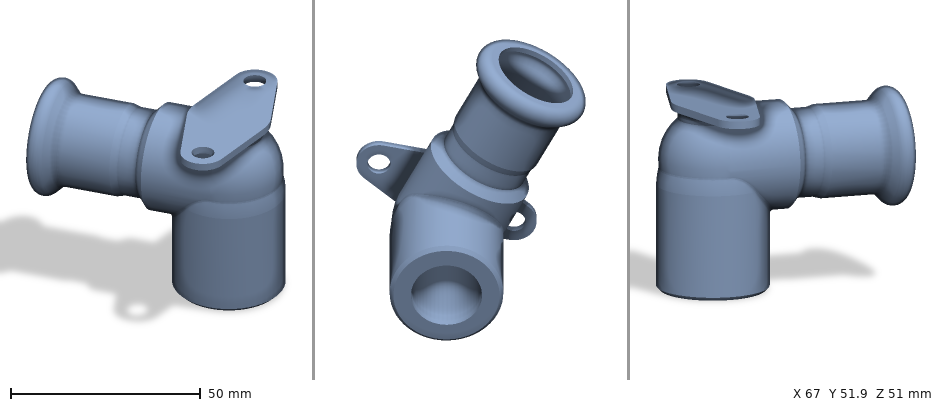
import cadquery as cq
import math


inlet_length = 52.0
socket_radius = 25.0 / 2
neck_radius = 23.8 / 2
body_radius = 29.0 / 2
socket_end = 22.9
neck_start = 25.0
neck_end = 30.1
body_start = 32.55

wall = 1.5
bead_radius = 2.9
bead_centre_radius = 13.0
blend_radius = 2.35
socket_bore_radius = socket_radius - wall

outlet_radius = 30.0 / 2
outlet_bottom = -35.1
outlet_dome_z = -6.6
outlet_chamfer = 1.0
bore_radius = 9.4
seam_fillet = 1.0

flange_top = 15.9
flange_thickness = 2.0
flange_radius = 11.1
ear_radius = 5.95
flange_width = 51.9
ear_offset = flange_width / 2 - ear_radius
ear_hole_diameter = 6.0
boss_radius = 9.3


def polar(centre, radius, degrees):
    """Point on a circle, as (axial, radial) coordinates."""
    angle = math.radians(degrees)
    return centre[0] + radius * math.cos(angle), centre[1] + radius * math.sin(angle)


def bead_outline(sketch, bead_arc_radius, blend_arc_radius, tube_radius):
    """Continue a profile over the bead, down its 45 degree flank and into the tube wall."""
    bead_centre = (bead_radius, bead_centre_radius)
    flank_start = polar(bead_centre, bead_arc_radius, 45)
    blend_centre_radius = tube_radius + blend_arc_radius
    flank_end_radius = blend_centre_radius - blend_arc_radius * math.sin(math.pi / 4)
    flank_end_x = flank_start[0] + flank_start[1] - flank_end_radius
    blend_centre = (flank_end_x + blend_arc_radius * math.cos(math.pi / 4), blend_centre_radius)
    return (
        sketch.threePointArc(polar(bead_centre, bead_arc_radius, 112.5), flank_start)
        .lineTo(flank_end_x, flank_end_radius)
        .threePointArc(polar(blend_centre, blend_arc_radius, 247.5), (blend_centre[0], tube_radius))
    )


def revolve_inlet(profile):
    """Revolve a profile about the inlet axis and place its mouth at the inlet end."""
    return profile.close().revolve(360, (0, 0), (1, 0)).translate((-inlet_length, 0, 0))


def make_inlet():
    profile = cq.Workplane("XY").lineTo(0, bead_centre_radius)
    profile = bead_outline(profile, bead_radius, blend_radius, socket_radius)
    profile = (
        profile.lineTo(socket_end, socket_radius)
        .lineTo(neck_start, neck_radius)
        .lineTo(neck_end, neck_radius)
        .lineTo(body_start, body_radius)
        .lineTo(inlet_length, body_radius)
        .lineTo(inlet_length, 0)
    )
    return revolve_inlet(profile).union(cq.Workplane("XY").sphere(body_radius))


def make_outlet():
    tube = (
        cq.Workplane("XY", origin=(0, 0, outlet_bottom))
        .circle(outlet_radius)
        .extrude(outlet_dome_z - outlet_bottom)
        .faces("<Z")
        .chamfer(outlet_chamfer)
    )
    dome = cq.Workplane("XY").sphere(outlet_radius).translate((0, 0, outlet_dome_z))
    return tube.union(dome)


def make_elbow():
    """Join the two tubes and soften the seam where they meet."""
    inlet = make_inlet()
    outlet = make_outlet()
    return inlet.union(outlet).edges("%BSPLINE").fillet(seam_fillet)


def make_boss():
    """Short boss that flares out to the flange edge."""
    flare = flange_radius - boss_radius
    flare_top = flange_top - flange_thickness
    flare_start = flare_top - flare
    flare_middle = polar((flange_radius, flare_start), flare, 135)
    return (
        cq.Workplane("XZ")
        .lineTo(boss_radius, 0)
        .lineTo(boss_radius, flare_start)
        .threePointArc(flare_middle, (flange_radius, flare_top))
        .lineTo(0, flare_top)
        .close()
        .revolve(360, (0, 0), (0, 1))
    )


def make_flange():
    """Diamond plate: a central disc joined by tangent lines to two drilled ears."""
    sine = (flange_radius - ear_radius) / ear_offset
    cosine = math.sqrt(1 - sine**2)
    side_x, side_y = flange_radius * cosine, flange_radius * sine
    ear_x, ear_y = ear_radius * cosine, ear_offset + ear_radius * sine
    return (
        cq.Workplane("XY", origin=(0, 0, flange_top - flange_thickness))
        .moveTo(side_x, -side_y)
        .threePointArc((flange_radius, 0), (side_x, side_y))
        .lineTo(ear_x, ear_y)
        .threePointArc((0, flange_width / 2), (-ear_x, ear_y))
        .lineTo(-side_x, side_y)
        .threePointArc((-flange_radius, 0), (-side_x, -side_y))
        .lineTo(-ear_x, -ear_y)
        .threePointArc((0, -flange_width / 2), (ear_x, -ear_y))
        .close()
        .extrude(flange_thickness)
        .faces(">Z")
        .workplane()
        .pushPoints([(0, ear_offset), (0, -ear_offset)])
        .hole(ear_hole_diameter)
    )


def make_socket_bore():
    """Stepped inlet bore with the seal groove behind a thin lip."""
    profile = cq.Workplane("XY").lineTo(0, socket_bore_radius).lineTo(wall, socket_bore_radius)
    profile = profile.lineTo(wall, bead_centre_radius)
    profile = bead_outline(profile, bead_radius - wall, blend_radius + wall, socket_bore_radius)
    profile = (
        profile.lineTo(socket_end, socket_bore_radius)
        .lineTo(socket_end, bore_radius)
        .lineTo(inlet_length, bore_radius)
        .lineTo(inlet_length, 0)
    )
    return revolve_inlet(profile)


def make_outlet_bore():
    """Straight outlet bore with a spherical end at the elbow centre."""
    bore = cq.Workplane("XY").circle(bore_radius).extrude(outlet_bottom)
    return bore.union(cq.Workplane("XY").sphere(bore_radius))


solid_body = make_elbow().union(make_boss()).union(make_flange())
result = solid_body.cut(make_socket_bore()).cut(make_outlet_bore())